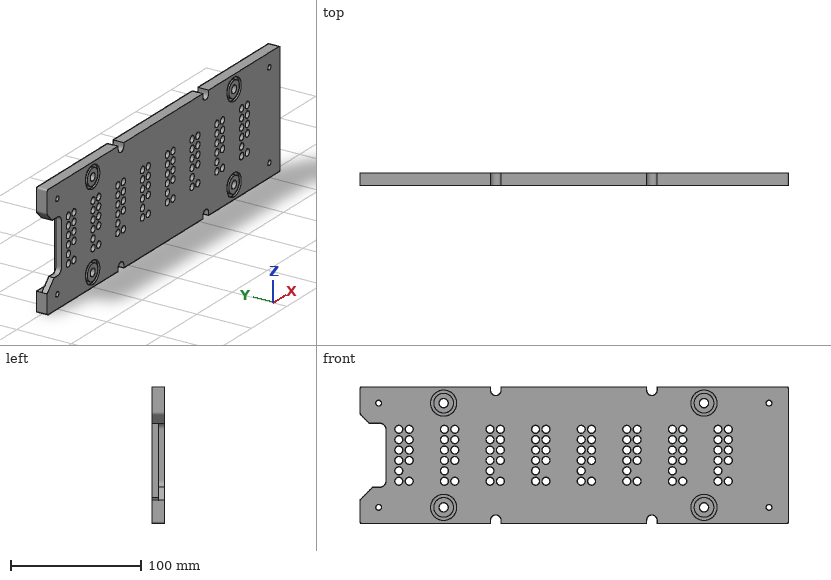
import cadquery as cq

LENGTH = 329.5
THICKNESS = 10.0
HEIGHT = 105.0
MID_HEIGHT = HEIGHT / 2
CORNER_RADIUS = 1.5

SLOT_DEPTH = 20.0
SLOT_HEIGHT = 49.0
SLOT_FILLET = 5.0
SLOT_BOTTOM = MID_HEIGHT - SLOT_HEIGHT / 2
SLOT_TOP = MID_HEIGHT + SLOT_HEIGHT / 2
UPPER_FLARE = 7.2
LOWER_FLARE = 10.0
UPPER_FLARE_RADIUS = 3.3

FRONT_LAYER = 5.0
STEP_END = 25.5
STEP_BOTTOM = SLOT_BOTTOM - LOWER_FLARE
STEP_RELIEF_RADIUS = 2.0

PATTERN_CENTER = 164.5

NOTCH_SPACING = 120.0
NOTCH_WIDTH = 8.0
NOTCH_DEPTH = 6.5

HOLE_ROW_SPACING = 80.0
SCREW_SPACING = 200.0
SCREW_DIAMETER = 7.0
GROOVE_OUTER_DIAMETER = 20.0
GROOVE_INNER_DIAMETER = 15.0
GROOVE_DEPTH = 2.0
SMALL_HOLE_SPACING = 300.0
SMALL_HOLE_DIAMETER = 4.3

GROUP_COUNT = 8
GROUP_SPAN = 245.0
GROUP_PITCH = GROUP_SPAN / (GROUP_COUNT - 1)
FIRST_COLUMN_X = 30.0
CONTACT_DIAMETER = 6.0
CONTACT_COLUMNS = 2
CONTACT_ROWS = 6
CONTACT_ROW_SPAN = 40.0
CONTACT_PITCH = CONTACT_ROW_SPAN / (CONTACT_ROWS - 1)
MISSING_CONTACT = (1, 1)


def prism(sketch, start, end):
    """Extrude an XZ outline between two Y positions."""
    return sketch.extrude(start - end).translate((0, start, 0))


def drill(points, diameter, depth=THICKNESS):
    """Cylinders running back from the front face."""
    return prism(cq.Workplane("XZ").pushPoints(points).circle(diameter / 2), 0, depth)


def mirrored_points(x_spacing, z_spacing):
    """Four points spread evenly about the pattern centre."""
    return [
        (PATTERN_CENTER + x_side * x_spacing / 2, MID_HEIGHT + z_side * z_spacing / 2)
        for x_side in (-1, 1)
        for z_side in (-1, 1)
    ]


def plate():
    outline = cq.Workplane("XZ").rect(LENGTH, HEIGHT, centered=False)
    return prism(outline, 0, THICKNESS).edges("|Y").fillet(CORNER_RADIUS)


def end_slot():
    """Slot with rounded inner corners; its flares open toward the left end."""
    body = (
        cq.Workplane("XZ")
        .moveTo(0, STEP_BOTTOM)
        .lineTo(LOWER_FLARE, SLOT_BOTTOM)
        .lineTo(SLOT_DEPTH, SLOT_BOTTOM)
        .lineTo(SLOT_DEPTH, SLOT_TOP)
        .lineTo(UPPER_FLARE, SLOT_TOP)
        .lineTo(0, SLOT_TOP + UPPER_FLARE)
        .close()
    )
    return prism(body, 0, THICKNESS).edges("|Y and >X").fillet(SLOT_FILLET)


def rear_step():
    """Deeper cut behind the front layer, with a round relief in its lower corner."""
    pocket = cq.Workplane("XZ").moveTo(0, STEP_BOTTOM).lineTo(STEP_END, STEP_BOTTOM)
    pocket = pocket.lineTo(STEP_END, SLOT_TOP).lineTo(0, SLOT_TOP).close()
    relief = cq.Workplane("XZ").moveTo(STEP_END, STEP_BOTTOM).circle(STEP_RELIEF_RADIUS)
    return prism(pocket, FRONT_LAYER, THICKNESS).union(prism(relief, FRONT_LAYER, THICKNESS))


def edge_notches():
    """Slots centred on the plate edges, so half of each cuts into the plate."""
    centers = mirrored_points(NOTCH_SPACING, HEIGHT)
    return prism(
        cq.Workplane("XZ").pushPoints(centers).slot2D(2 * NOTCH_DEPTH, NOTCH_WIDTH, 90),
        0,
        THICKNESS,
    )


def screw_grooves():
    centers = mirrored_points(SCREW_SPACING, HOLE_ROW_SPACING)
    outer = drill(centers, GROOVE_OUTER_DIAMETER, GROOVE_DEPTH)
    return outer.cut(drill(centers, GROOVE_INNER_DIAMETER, GROOVE_DEPTH))


def contact_points():
    bottom_row_z = MID_HEIGHT - CONTACT_ROW_SPAN / 2
    return [
        (
            FIRST_COLUMN_X + group * GROUP_PITCH + column * CONTACT_PITCH,
            bottom_row_z + row * CONTACT_PITCH,
        )
        for group in range(GROUP_COUNT)
        for column in range(CONTACT_COLUMNS)
        for row in range(CONTACT_ROWS)
        if (column, row) != MISSING_CONTACT
    ]


flare_corner = cq.selectors.NearestToPointSelector((0, THICKNESS / 2, SLOT_TOP + UPPER_FLARE))
result = plate().cut(end_slot()).edges("|Y").edges(flare_corner).fillet(UPPER_FLARE_RADIUS)

result = result.cut(rear_step())
result = result.cut(edge_notches())
result = result.cut(screw_grooves())
result = result.cut(drill(mirrored_points(SCREW_SPACING, HOLE_ROW_SPACING), SCREW_DIAMETER))
result = result.cut(drill(mirrored_points(SMALL_HOLE_SPACING, HOLE_ROW_SPACING), SMALL_HOLE_DIAMETER))
result = result.cut(drill(contact_points(), CONTACT_DIAMETER))